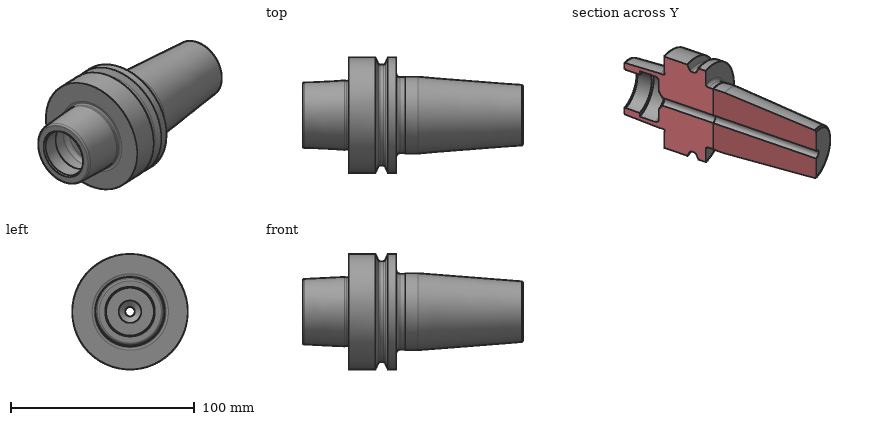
import cadquery as cq
import math

overall_length = 120.0
shank_length = 25.0
taper_length = 22.5
relief_slope_length = 1.1
flange_width = 26.0
neck_length = 4.7
nose_straight_length = 7.0

shank_taper_radius = 19.0
shank_taper_slope = 0.05
shank_end_fillet = 1.0
relief_depth = 0.18
undercut_outer_radius = 20.8
undercut_depth = 0.4
undercut_fillet = 0.6

flange_diameter = 63.0
groove_center = 43.0
groove_width = 6.8
groove_depth = 4.0
groove_wall_angle = 25.0
groove_fillet = 1.0

neck_radius = 20.8
neck_fillet = 1.8

nose_radius = 21.0
nose_tip_diameter = 33.0
nose_chamfer = 0.8

bore_radius = 13.0
bore_length = 9.8
recess_radius = 15.5
recess_floor = 21.6
recess_fillet = 2.4
bore_chamfer_radial = 0.6
bore_chamfer_axial = 1.1
funnel_radius = 6.1
funnel_half_angle = 59.0
channel_radius = 2.5

relief_start = taper_length + relief_slope_length
flange_back = shank_length + flange_width
joint = flange_back + neck_length
nose_taper_start = joint + nose_straight_length

shank_end_radius = shank_taper_radius - shank_taper_slope * taper_length
relief_radius = shank_taper_radius - relief_depth
flange_radius = flange_diameter / 2
nose_tip_radius = nose_tip_diameter / 2
groove_floor_radius = flange_radius - groove_depth
groove_floor_width = groove_width - 2 * groove_depth * math.tan(math.radians(groove_wall_angle))
funnel_length = (funnel_radius - channel_radius) / math.tan(math.radians(funnel_half_angle))


def turned(outline):
    """Revolve an outline of (x, radius) points about the X axis."""
    profile = cq.Workplane("XZ").polyline(outline).close()
    return profile.revolve(360, (0, 0, 0), (1, 0, 0))


def round_rim(body, station, radius, fillet):
    """Fillet the circular edge of the given radius that lies at a station along X."""
    tolerance = 0.01

    def is_rim(edge):
        return (
            edge.geomType() == "CIRCLE"
            and abs(edge.Center().x - station) < tolerance
            and abs(edge.radius() - radius) < tolerance
        )

    return body.edges().filter(is_rim).fillet(fillet)


def make_adapter():
    """Hollow shank, flange and neck, turned as one piece."""
    adapter = turned([
        (0, bore_radius + bore_chamfer_radial),
        (0, shank_end_radius),
        (taper_length, shank_taper_radius),
        (relief_start, relief_radius),
        (shank_length + undercut_depth, relief_radius),
        (shank_length, undercut_outer_radius),
        (shank_length, flange_radius),
        (groove_center - groove_width / 2, flange_radius),
        (groove_center - groove_floor_width / 2, groove_floor_radius),
        (groove_center + groove_floor_width / 2, groove_floor_radius),
        (groove_center + groove_width / 2, flange_radius),
        (flange_back, flange_radius),
        (flange_back, neck_radius),
        (joint, neck_radius),
        (joint, channel_radius),
        (recess_floor + funnel_length, channel_radius),
        (recess_floor, funnel_radius),
        (recess_floor, recess_radius),
        (bore_length, recess_radius),
        (bore_length, bore_radius),
        (bore_chamfer_axial, bore_radius),
    ])
    adapter = round_rim(adapter, 0, shank_end_radius, shank_end_fillet)
    adapter = round_rim(adapter, shank_length + undercut_depth, relief_radius, undercut_fillet)
    adapter = round_rim(adapter, recess_floor, recess_radius, recess_fillet)
    for side in (-1, 1):
        floor_edge = groove_center + side * groove_floor_width / 2
        adapter = round_rim(adapter, floor_edge, groove_floor_radius, groove_fillet)
    return round_rim(adapter, flange_back, neck_radius, neck_fillet)


def make_nose():
    """Tapered shrink nose that continues the channel to the free end."""
    nose = turned([
        (joint, channel_radius),
        (joint, nose_radius),
        (nose_taper_start, nose_radius),
        (overall_length, nose_tip_radius),
        (overall_length, channel_radius),
    ])
    return nose.faces(">X").edges(cq.selectors.RadiusNthSelector(-1)).chamfer(nose_chamfer)


adapter = make_adapter()
nose = make_nose()

result = cq.Compound.makeCompound([adapter.val(), nose.val()])